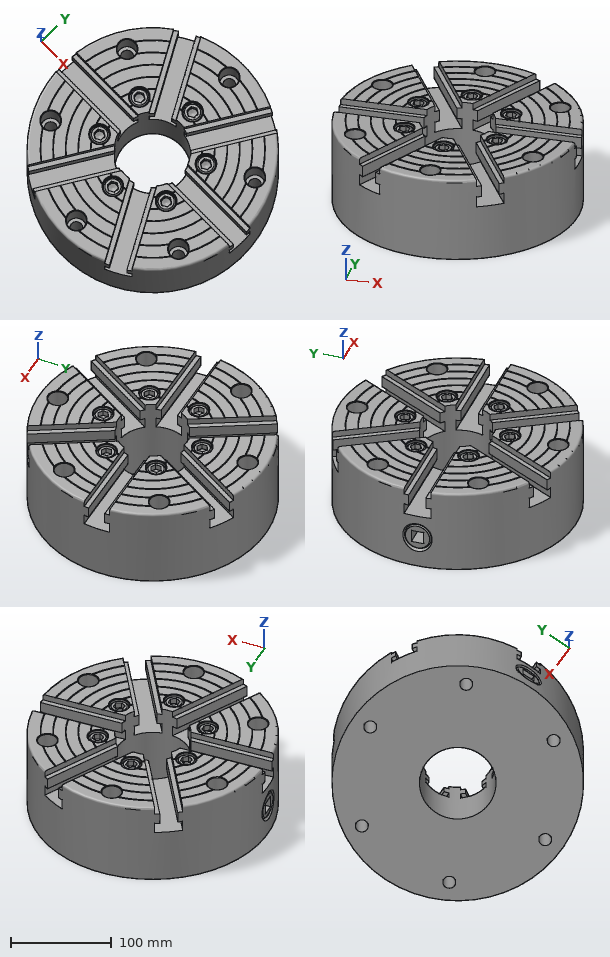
import cadquery as cq
import math


body_diameter = 250.0
body_height = 89.0
bore_diameter = 76.0
rim_fillet = 2.5

sector_count = 6
sector_angle = 360.0 / sector_count
slot_width = 28.0
neck_width = 18.0
upper_step_depth = 6.8
neck_bottom_depth = 18.8
slot_depth = 30.0

groove_count = 6
groove_inner_radius = 49.0
groove_pitch = 12.5
groove_width = 0.8
groove_depth = 0.5

hole_diameter = 12.8
counterbore_diameter = 20.0
counterbore_chamfer = 0.8
mounting_hole_radius = 105.5
mounting_counterbore_depth = 30.0

screw_circle_radius = 55.0
screw_head_diameter = 19.0
screw_head_height = 12.0
screw_head_chamfer = 1.5
screw_recess = 1.5
screw_shank_length = 40.0
socket_width = 10.0
socket_depth = 6.0
socket_tip_depth = 3.0

pinion_height = 33.8
pinion_face_radius = 124.0
pinion_face_diameter = 25.5
pinion_groove_diameter = 28.0
key_square = 13.0
key_depth = 20.0

cutter_clearance = 2.5

cutter_reach = body_diameter / 2 + cutter_clearance
screw_top = body_height - screw_recess
screw_head_bottom = screw_top - screw_head_height
socket_corner_diameter = socket_width / math.cos(math.radians(30))


def cylinder(diameter, bottom, top):
    """Vertical cylinder on the Z axis."""
    return cq.Workplane("XY").workplane(offset=bottom).circle(diameter / 2).extrude(top - bottom)


def revolve_profile(points):
    """Solid of revolution about the Z axis from (radius, height) points."""
    return cq.Workplane("XZ").polyline(points).close().revolve(360, (0, 0, 0), (0, 1, 0))


def on_sectors(shape, radius):
    """Copies of a shape on the Z axis, moved to the given radius in the middle of every sector."""
    return [
        shape.translate((radius, 0, 0)).rotate((0, 0, 0), (0, 0, 1), (i + 0.5) * sector_angle)
        for i in range(sector_count)
    ]


def make_slot():
    """T-slot cutter running outward from the axis along +X."""
    steps = [
        (slot_width, upper_step_depth),
        (neck_width, neck_bottom_depth),
        (slot_width, slot_depth),
    ]
    slot = cq.Workplane("XY")
    step_top = 0.0
    for width, step_bottom in steps:
        step = cq.Workplane("XY").box(
            cutter_reach, width, step_bottom - step_top, centered=(False, True, False)
        )
        slot = slot.add(step.translate((0, 0, body_height - step_bottom)))
        step_top = step_bottom
    return slot.combine()


def make_groove(radius):
    """Ring cutter for one groove in the top face."""
    bottom = body_height - groove_depth
    outer = cylinder(2 * radius + groove_width, bottom, body_height)
    return outer.cut(cylinder(2 * radius - groove_width, bottom, body_height))


def make_counterbore(hole_bottom, counterbore_bottom):
    """Cutter for a hole with a counterbore that is chamfered at the top face."""
    hole_radius = hole_diameter / 2
    counterbore_radius = counterbore_diameter / 2
    return revolve_profile([
        (0, hole_bottom),
        (hole_radius, hole_bottom),
        (hole_radius, counterbore_bottom),
        (counterbore_radius, counterbore_bottom),
        (counterbore_radius, body_height - counterbore_chamfer),
        (counterbore_radius + counterbore_chamfer, body_height),
        (0, body_height),
    ])


def make_pinion_recess():
    """Cutter for the pinion end: a 45 degree V-groove around the flat face, and the square socket."""
    face_radius = pinion_face_diameter / 2
    groove_radius = pinion_groove_diameter / 2
    groove_bottom = pinion_face_radius - (groove_radius - face_radius)
    recess = revolve_profile([
        (0, pinion_face_radius),
        (face_radius, pinion_face_radius),
        (groove_radius, groove_bottom),
        (groove_radius + cutter_reach - groove_bottom, cutter_reach),
        (0, cutter_reach),
    ])
    key_hole = (
        cq.Workplane("XY")
        .workplane(offset=pinion_face_radius - key_depth)
        .rect(key_square, key_square)
        .extrude(key_depth)
    )
    return recess.union(key_hole).rotate((0, 0, 0), (0, 1, 0), -90).translate((0, 0, pinion_height))


def make_body():
    body = cylinder(body_diameter, 0, body_height).faces(">Z").edges().fillet(rim_fillet)
    body = body.cut(cylinder(bore_diameter, 0, body_height))
    for i in range(groove_count):
        body = body.cut(make_groove(groove_inner_radius + i * groove_pitch))
    slot = make_slot()
    for i in range(sector_count):
        body = body.cut(slot.rotate((0, 0, 0), (0, 0, 1), i * sector_angle))
    mounting_hole = make_counterbore(0, body_height - mounting_counterbore_depth)
    screw_hole = make_counterbore(screw_head_bottom - screw_shank_length, screw_head_bottom)
    cutters = on_sectors(mounting_hole, mounting_hole_radius) + on_sectors(screw_hole, screw_circle_radius)
    for cutter in cutters:
        body = body.cut(cutter)
    return body.cut(make_pinion_recess())


def make_screw():
    """Socket head screw on the Z axis, with a conical tip at the bottom of its hexagon socket."""
    head = cylinder(screw_head_diameter, screw_head_bottom, screw_top)
    head = head.faces(">Z").edges().chamfer(screw_head_chamfer)
    shank = cylinder(hole_diameter, screw_head_bottom - screw_shank_length, screw_head_bottom)
    socket_bottom = screw_top - socket_depth
    socket = (
        cq.Workplane("XY")
        .workplane(offset=socket_bottom)
        .polygon(6, socket_corner_diameter)
        .extrude(socket_depth)
    )
    tip = revolve_profile([
        (0, socket_bottom - socket_tip_depth),
        (socket_width / 2, socket_bottom),
        (0, socket_bottom),
    ])
    return head.union(shank).cut(socket).cut(tip)


body = make_body()
screws = on_sectors(make_screw(), screw_circle_radius)

result = cq.Compound.makeCompound([body.val(), *[screw.val() for screw in screws]])